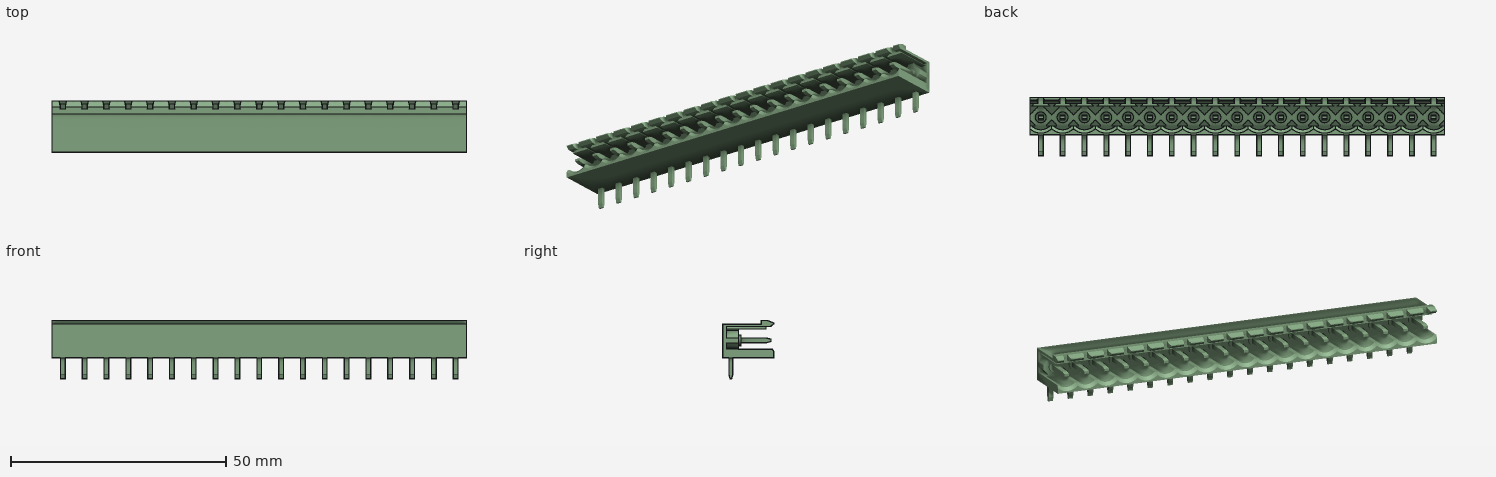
import cadquery as cq

length = 96.4
cell_count = 19
pitch = length / cell_count
depth = 12.0
height = 8.7

floor_thickness = 2.0
back_thickness = 0.9
roof_top = 7.8
roof_bottom = 7.2

lip_back = 9.0
lip_slope_start = 10.5
lip_tip_top = 8.1
lip_tip_bottom = 7.9
lip_chamfer_start = 11.2

notch_back = 10.1
notch_width = 1.3
notch_mouth_width = 1.8

block_front = 3.8
block_flat_half = 0.6
block_top_chamfer = 1.7
block_bottom_chamfer = 1.2

guide_bottom = 6.7
guide_front = 10.1
guide_gap = 0.4

trough_radius = 2.9
trough_mouth_radius = 3.7
trough_flare_start = 11.3

contact_z = 4.05
pin_width = 1.2
pin_end = 11.3
pin_taper_length = 1.2
pin_tip_height = 0.6
collar_radius = 1.3
collar_thickness = 0.6
solder_pin_y = 1.9
solder_pin_depth = 1.0
solder_pin_length = 4.9
solder_taper_length = 1.1
solder_tip_depth = 0.4


def extrude_x(points, start, width):
    """Extrude a (Y, Z) outline along +X from the given start."""
    return cq.Workplane("YZ", origin=(start, 0, 0)).polyline(points).close().extrude(width)


def extrude_y(points, start, end):
    """Extrude an (X, Z) outline along +Y between two positions."""
    plane = cq.Workplane("XZ", origin=(0, end, 0))
    return plane.polyline(points).close().extrude(end - start)


def make_housing():
    outline = [
        (0, 0),
        (depth, 0),
        (depth, floor_thickness),
        (back_thickness, floor_thickness),
        (back_thickness, roof_bottom),
        (lip_chamfer_start, roof_bottom),
        (depth, lip_tip_bottom),
        (depth, lip_tip_top),
        (lip_slope_start, height),
        (lip_back, height),
        (lip_back, roof_top),
        (0, roof_top),
    ]
    return extrude_x(outline, 0, length)


def make_trough(x):
    half_outline = [
        (x, block_front),
        (x + trough_radius, block_front),
        (x + trough_radius, trough_flare_start),
        (x + trough_mouth_radius, depth),
        (x, depth),
    ]
    plane = cq.Workplane("XY", origin=(0, 0, contact_z))
    trough = plane.polyline(half_outline).close().revolve(360, (x, 0), (x, 1))
    lower_half = cq.Workplane().box(pitch, depth, contact_z, centered=(True, False, False))
    return trough.intersect(lower_half.translate((x, 0, 0)))


def make_notch(x):
    half_back = notch_width / 2
    half_mouth = notch_mouth_width / 2
    outline = [
        (x - half_back, notch_back),
        (x + half_back, notch_back),
        (x + half_back, lip_chamfer_start),
        (x + half_mouth, depth),
        (x - half_mouth, depth),
        (x - half_back, lip_chamfer_start),
    ]
    plane = cq.Workplane("XY", origin=(0, 0, roof_bottom))
    return plane.polyline(outline).close().extrude(height - roof_bottom)


def make_block(x):
    half = pitch / 2
    half_top = half - block_top_chamfer
    half_bottom = half - block_bottom_chamfer
    flat_top = contact_z + block_flat_half
    flat_bottom = contact_z - block_flat_half
    chamfer_top = flat_top + block_top_chamfer
    chamfer_bottom = flat_bottom - block_bottom_chamfer
    outline = [
        (x - half, flat_bottom),
        (x - half_bottom, chamfer_bottom),
        (x - half_bottom, floor_thickness),
        (x + half_bottom, floor_thickness),
        (x + half_bottom, chamfer_bottom),
        (x + half, flat_bottom),
        (x + half, flat_top),
        (x + half_top, chamfer_top),
        (x + half_top, roof_bottom),
        (x - half_top, roof_bottom),
        (x - half_top, chamfer_top),
        (x - half, flat_top),
    ]
    return extrude_y(outline, back_thickness, block_front)


def make_guide(x):
    half_bottom = pitch / 2 - guide_gap
    half_top = half_bottom - (roof_bottom - guide_bottom)
    outline = [
        (x - half_bottom, guide_bottom),
        (x + half_bottom, guide_bottom),
        (x + half_top, roof_bottom),
        (x - half_top, roof_bottom),
    ]
    return extrude_y(outline, back_thickness, guide_front)


def make_mating_pin(x):
    half = pin_width / 2
    half_tip = pin_tip_height / 2
    taper_start = pin_end - pin_taper_length
    outline = [
        (back_thickness, contact_z - half),
        (taper_start, contact_z - half),
        (pin_end, contact_z - half_tip),
        (pin_end, contact_z + half_tip),
        (taper_start, contact_z + half),
        (back_thickness, contact_z + half),
    ]
    pin = extrude_x(outline, x - half, pin_width)
    collar_plane = cq.Workplane("XZ", origin=(x, block_front + collar_thickness, contact_z))
    collar = collar_plane.circle(collar_radius).extrude(collar_thickness)
    return pin.union(collar)


def make_solder_pin(x):
    half = solder_pin_depth / 2
    half_tip = solder_tip_depth / 2
    taper_start = solder_taper_length - solder_pin_length
    outline = [
        (solder_pin_y - half, floor_thickness),
        (solder_pin_y - half, taper_start),
        (solder_pin_y - half_tip, -solder_pin_length),
        (solder_pin_y + half_tip, -solder_pin_length),
        (solder_pin_y + half, taper_start),
        (solder_pin_y + half, floor_thickness),
    ]
    return extrude_x(outline, x - pin_width / 2, pin_width)


cell_centres = [(i + 0.5) * pitch for i in range(cell_count)]

cutters = []
additions = []
for centre in cell_centres:
    cutters += [make_trough(centre).val(), make_notch(centre).val()]
    additions += [make_block(centre).val(), make_guide(centre).val()]
    additions += [make_mating_pin(centre).val(), make_solder_pin(centre).val()]

housing = make_housing().val().cut(*cutters)
result = cq.Workplane(housing.fuse(*additions).clean())